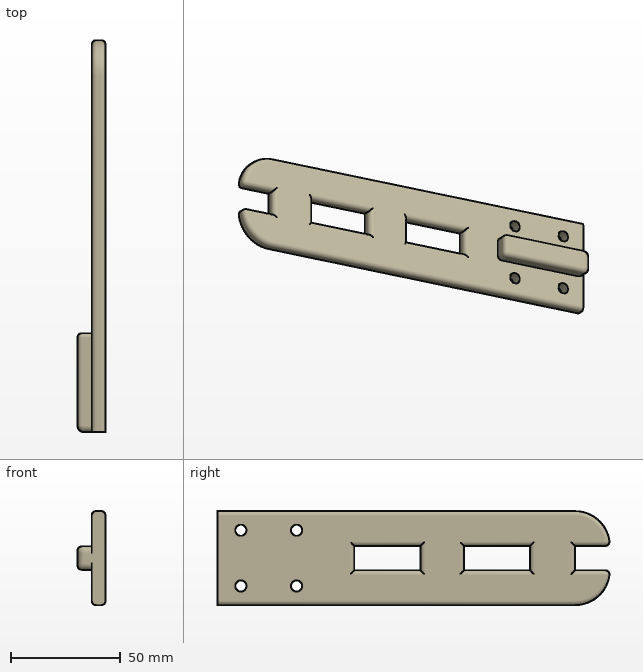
import cadquery as cq
import math

PLATE_THICKNESS = 6.35
PLATE_LENGTH = 179.0
PLATE_HEIGHT = 43.01
EDGE_RADIUS = 2.1

SLOT_WIDTH = 11.0
PRONG_RADIUS = (PLATE_HEIGHT - SLOT_WIDTH) / 2
PRONG_ARC_START = PLATE_LENGTH - PRONG_RADIUS
SLOT_DEPTH = 15.85
SLOT_BOTTOM = PLATE_LENGTH - SLOT_DEPTH
WINDOW_LENGTH = 30.0
WINDOW_PITCH = 50.0
FIRST_WINDOW_CENTER = 77.5
WINDOW_COUNT = 2

HOLE_DIAMETER = 5.0
HOLE_PITCH = 25.4
HOLE_PATTERN_CENTER = 23.4

RIB_LENGTH = 45.2
RIB_WIDTH = 10.85
RIB_PROJECTION = 6.5
RIB_RADIUS = 2.1
RIB_END_RADIUS = 3.0


def block(thickness, length, width, center_y):
    """Block from x = 0 toward +X, or -X if thickness is negative, centred on z = 0."""
    return (
        cq.Workplane("YZ")
        .center(center_y, 0)
        .rect(length, width)
        .extrude(thickness)
    )


def make_plate_blank():
    """Square-ended plate with two quarter-round prongs on either side of the open slot."""
    half_height = PLATE_HEIGHT / 2
    half_slot = SLOT_WIDTH / 2
    diagonal = PRONG_RADIUS * math.sqrt(0.5)
    arc_mid = (PRONG_ARC_START + diagonal, half_slot + diagonal)
    return (
        cq.Workplane("YZ")
        .moveTo(0, -half_height)
        .lineTo(PRONG_ARC_START, -half_height)
        .threePointArc((arc_mid[0], -arc_mid[1]), (PLATE_LENGTH, -half_slot))
        .lineTo(SLOT_BOTTOM, -half_slot)
        .lineTo(SLOT_BOTTOM, half_slot)
        .lineTo(PLATE_LENGTH, half_slot)
        .threePointArc(arc_mid, (PRONG_ARC_START, half_height))
        .lineTo(0, half_height)
        .close()
        .extrude(PLATE_THICKNESS)
    )


def cut_windows(plate):
    """Cut the row of windows, each as wide as the slot."""
    for index in range(WINDOW_COUNT):
        center_y = FIRST_WINDOW_CENTER + index * WINDOW_PITCH
        plate = plate.cut(block(PLATE_THICKNESS, WINDOW_LENGTH, SLOT_WIDTH, center_y))
    return plate


def round_plate(plate):
    """Round the prong corners, then both rims everywhere but the square end."""
    plate = plate.edges("|X and >Y").fillet(EDGE_RADIUS)
    return plate.faces("<X or >X").edges("not <Y").fillet(EDGE_RADIUS)


def drill_holes(plate):
    """Drill a square pattern of through holes near the square end."""
    holes = (
        cq.Workplane("YZ")
        .center(HOLE_PATTERN_CENTER, 0)
        .rarray(HOLE_PITCH, HOLE_PITCH, 2, 2)
        .circle(HOLE_DIAMETER / 2)
        .extrude(PLATE_THICKNESS)
    )
    return plate.cut(holes)


def make_rib():
    """Rib rounded on every edge but those on the plate, most strongly at the square end."""
    rib = block(-RIB_PROJECTION, RIB_LENGTH, RIB_WIDTH, RIB_LENGTH / 2)
    rib = rib.faces("<Y").edges("not >X").fillet(RIB_END_RADIUS)
    rib = rib.edges("|X and >Y").fillet(RIB_RADIUS)
    return rib.faces("<X").edges("not <Y").fillet(RIB_RADIUS)


plate = drill_holes(round_plate(cut_windows(make_plate_blank())))
result = plate.union(make_rib())